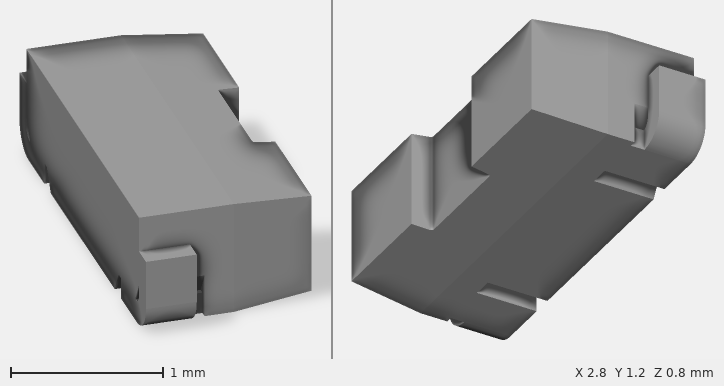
import cadquery as cq
import math


LENGTH = 2.8
DEPTH = 1.2
HEIGHT = 0.8

LEAD_THICKNESS = 0.15
LEAD_DEPTH = 0.35
LEAD_LEG = 0.55
LEAD_OUTER_RADIUS = 0.2
LEAD_INNER_RADIUS = 0.078

HOUSING_LENGTH = LENGTH - 2 * LEAD_THICKNESS
STRAIGHT_DEPTH = 0.652
DRAFT_ANGLE = 5.0

POCKET_LENGTH = 0.455
POCKET_DEPTH = 0.45
POCKET_SLOPE = 60.0

NOTCH_WIDTH = 0.8
NOTCH_DEPTH = 0.15
NOTCH_CORNER_RADIUS = 0.02

WINDOW_MARGIN = 0.1
WINDOW_CORNER_RADIUS = 0.042
WINDOW_THICKNESS = 0.1

half_length = LENGTH / 2
half_housing = HOUSING_LENGTH / 2
draft_slope = math.tan(math.radians(DRAFT_ANGLE))
pocket_run = LEAD_THICKNESS / math.tan(math.radians(POCKET_SLOPE))
pocket_inner_x = half_housing - POCKET_LENGTH


def extrude_back(outline, depth):
    """Extrude an outline drawn in the XZ plane from the emitting face toward the back."""
    return outline.extrude(-depth)


def make_blank():
    """Straight front block with a back part that narrows on all four sides."""
    front = cq.Workplane("XZ").rect(HOUSING_LENGTH, HEIGHT).extrude(-STRAIGHT_DEPTH)
    back = (
        cq.Workplane("XZ", origin=(0, STRAIGHT_DEPTH, 0))
        .rect(HOUSING_LENGTH, HEIGHT)
        .extrude(-(DEPTH - STRAIGHT_DEPTH), taper=DRAFT_ANGLE)
    )
    return front.union(back).translate((0, 0, HEIGHT / 2))


def make_pocket():
    """Pocket at the +X end: a sloped inner wall, a flat ceiling and a bevelled outer corner."""
    outline = (
        cq.Workplane("XZ")
        .moveTo(pocket_inner_x - pocket_run, 0)
        .lineTo(pocket_inner_x, LEAD_THICKNESS)
        .lineTo(half_housing - pocket_run, LEAD_THICKNESS)
        .lineTo(half_housing, 2 * LEAD_THICKNESS)
        .lineTo(half_housing, 0)
        .close()
    )
    return extrude_back(outline, POCKET_DEPTH)


def make_notch():
    """Full-height notch in the back face, widening toward the back."""
    half_mouth = NOTCH_WIDTH / 2
    half_floor = half_mouth - NOTCH_DEPTH * draft_slope
    floor_y = DEPTH - NOTCH_DEPTH
    return (
        cq.Workplane("XY")
        .moveTo(-half_mouth, DEPTH)
        .lineTo(-half_floor, floor_y)
        .lineTo(half_floor, floor_y)
        .lineTo(half_mouth, DEPTH)
        .close()
        .extrude(HEIGHT)
        .edges("|Z and <Y")
        .fillet(NOTCH_CORNER_RADIUS)
    )


def make_window():
    """Plate whose outline keeps an even margin to the emitting face, pockets included."""
    half_width = half_housing - WINDOW_MARGIN
    bottom = WINDOW_MARGIN
    step = LEAD_THICKNESS + WINDOW_MARGIN
    slope_shift = WINDOW_MARGIN * math.tan(math.radians(POCKET_SLOPE / 2))
    step_x = pocket_inner_x - slope_shift
    bottom_x = step_x - pocket_run
    outline = cq.Workplane("XZ").polyline(
        [
            (-half_width, HEIGHT - WINDOW_MARGIN),
            (-half_width, step),
            (-step_x, step),
            (-bottom_x, bottom),
            (bottom_x, bottom),
            (step_x, step),
            (half_width, step),
            (half_width, HEIGHT - WINDOW_MARGIN),
        ]
    ).close()
    return extrude_back(outline, WINDOW_THICKNESS).edges("|Y").fillet(WINDOW_CORNER_RADIUS)


def make_housing():
    housing = make_blank().cut(make_notch())
    pocket = make_pocket()
    housing = housing.cut(pocket).cut(pocket.mirror("YZ"))
    window = make_window()
    return housing.cut(window).union(window, clean=False)


def make_lead():
    """Lead at the +X end: an upright against the end face and a wider foot in the pocket."""
    inner_x = half_length - LEAD_THICKNESS
    foot_end_x = half_length - LEAD_LEG
    bend_start_x = half_length - LEAD_OUTER_RADIUS
    outline = (
        cq.Workplane("XZ")
        .moveTo(half_length, LEAD_LEG)
        .lineTo(half_length, LEAD_OUTER_RADIUS)
        .radiusArc((bend_start_x, 0), LEAD_OUTER_RADIUS)
        .lineTo(foot_end_x, 0)
        .lineTo(foot_end_x, LEAD_THICKNESS)
        .lineTo(inner_x - LEAD_INNER_RADIUS, LEAD_THICKNESS)
        .radiusArc((inner_x, LEAD_THICKNESS + LEAD_INNER_RADIUS), -LEAD_INNER_RADIUS)
        .lineTo(inner_x, LEAD_LEG)
        .close()
    )
    foot = cq.Workplane("XY").box(
        bend_start_x - foot_end_x, POCKET_DEPTH, LEAD_THICKNESS, centered=False
    ).translate((foot_end_x, 0, 0))
    return extrude_back(outline, LEAD_DEPTH).union(foot)


housing = make_housing()
right_lead = make_lead()
leads = [right_lead, right_lead.mirror("YZ")]

result = cq.Compound.makeCompound([housing.val(), *[lead.val() for lead in leads]])